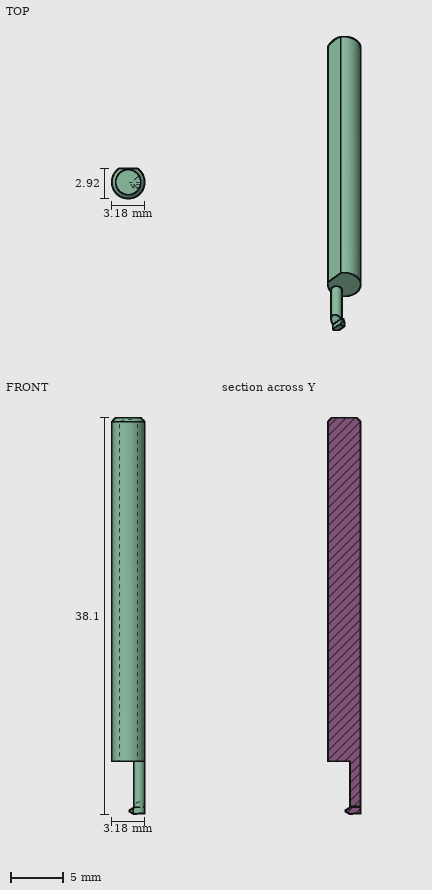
import cadquery as cq
import math

shank_diameter = 3.175
shank_radius = shank_diameter / 2
shank_width_over_flat = 2.92
flat_y = shank_width_over_flat - shank_radius
shank_chamfer = 0.38

overall_length = 38.1
reach = 5.08

neck_diameter = 1.07
neck_radius = neck_diameter / 2
neck_x = shank_radius - neck_radius
neck_bottom_z = 0.06

rake_y = 0.0
runout_z_at_rake = 0.82
runout_angle = 35.0

tooth_point_x = 0.08
tooth_point_z = 0.33
tooth_point_width = 0.12
tooth_half_angle = 30.0
head_root_x = neck_x - neck_radius
head_top_z = 0.68
head_back_y = rake_y - neck_radius
flank_clearance = 0.06
point_relief_angle = 37.0


def make_shank():
    length = overall_length - reach
    shank = (
        cq.Workplane("XY", origin=(0, 0, reach))
        .circle(shank_radius)
        .extrude(length)
        .faces(">Z")
        .chamfer(shank_chamfer)
    )
    beyond_flat = cq.Workplane("XY", origin=(0, flat_y + shank_radius, reach)).rect(
        2 * shank_diameter, shank_diameter
    )
    return shank.cut(beyond_flat.extrude(length))


def make_neck():
    neck = (
        cq.Workplane("XY", origin=(neck_x, 0, neck_bottom_z))
        .circle(neck_radius)
        .extrude(reach - neck_bottom_z)
    )
    runout_slope = math.tan(math.radians(runout_angle))
    runout_foot_y = rake_y - (runout_z_at_rake - head_top_z) / runout_slope
    outer_y = neck_diameter
    outer_z = runout_z_at_rake + (outer_y - rake_y) * runout_slope
    rake_relief = (
        cq.Workplane("YZ", origin=(neck_x, 0, 0))
        .moveTo(rake_y, 0)
        .lineTo(rake_y, head_top_z)
        .lineTo(runout_foot_y, head_top_z)
        .lineTo(outer_y, outer_z)
        .lineTo(outer_y, 0)
        .close()
        .extrude(neck_radius, both=True)
    )
    return neck.cut(rake_relief)


def head_section(y, point_x, clearance):
    """Closed head outline in the XZ plane at the given Y, its flanks drawn in by the clearance."""
    slope = math.tan(math.radians(tooth_half_angle))
    bottom_z = clearance
    root_half_width = tooth_point_width / 2 + (head_root_x - tooth_point_x) * slope - clearance
    point_half_width = root_half_width - (head_root_x - point_x) * slope
    heel_x = head_root_x + (tooth_point_z - root_half_width - bottom_z) / slope
    outline = [
        (neck_x, neck_bottom_z),
        (heel_x, bottom_z),
        (point_x, tooth_point_z - point_half_width),
        (point_x, tooth_point_z + point_half_width),
        (head_root_x, tooth_point_z + root_half_width),
        (head_root_x, head_top_z),
        (neck_x, head_top_z),
    ]
    return cq.Wire.makePolygon([cq.Vector(x, y, z) for x, z in outline], close=True)


def make_head():
    point_fall = (rake_y - head_back_y) * math.tan(math.radians(point_relief_angle))
    rake_section = head_section(rake_y, tooth_point_x, 0)
    back_section = head_section(head_back_y, tooth_point_x + point_fall, flank_clearance)
    return cq.Workplane(cq.Solid.makeLoft([rake_section, back_section], True))


result = make_shank().union(make_neck()).union(make_head())